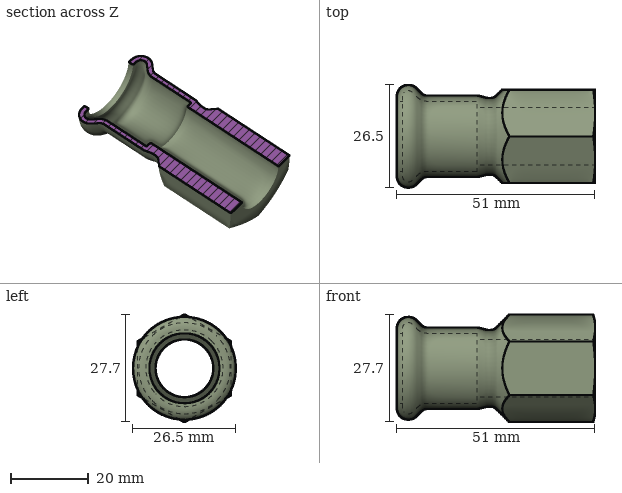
import cadquery as cq
import math


total_length = 51.0
socket_outer_radius = 21.0 / 2
neck_radius = 19.8 / 2
wall = 1.5
socket_inner_radius = socket_outer_radius - wall
through_bore_radius = 14.8 / 2

bead_outer_radius = 26.5 / 2
bead_arc_radius = 3.0
bead_groove_arc_radius = bead_arc_radius - wall
bead_flank_angle = 45.0
bead_root_arc_radius = 2.0
bead_groove_root_arc_radius = bead_root_arc_radius + wall

socket_end_x = 20.6
step_angle = 15.0
step_arc_radius = 2.4

neck_end_x = 24.2
shoulder_angle = 45.0
shoulder_arc_radius = 2.0

hex_sides = 6
hex_across_flats = 24.0
hex_corner_radius = hex_across_flats / math.sqrt(3)
end_chamfer_angle = 15.0
end_face_radius = hex_across_flats / 2
end_chamfer_length = (hex_corner_radius - end_face_radius) * math.tan(math.radians(end_chamfer_angle))

OUTWARD = 90.0
BACKWARD = 180.0
INWARD = 270.0


def arc_point(center, radius, degrees):
    """Point on a circle in the given direction from its center."""
    angle = math.radians(degrees)
    return (center[0] + radius * math.cos(angle), center[1] + radius * math.sin(angle))


def add_arc(profile, center, radius, start_angle, end_angle):
    """Continue a profile along an arc, from its current point at the start angle."""
    middle_angle = (start_angle + end_angle) / 2
    return profile.threePointArc(
        arc_point(center, radius, middle_angle),
        arc_point(center, radius, end_angle),
    )


def add_falling_bend(profile, crest_center, crest_radius, crest_start, root_center, root_radius, slope):
    """Continue a profile over a crest arc, down a tangent slope and around a root arc."""
    crest_end = OUTWARD - slope
    root_start = INWARD - slope
    profile = add_arc(profile, crest_center, crest_radius, crest_start, crest_end)
    profile = profile.lineTo(*arc_point(root_center, root_radius, root_start))
    return add_arc(profile, root_center, root_radius, root_start, INWARD)


def root_center_x(crest_center, root_center_radius, arc_radius_sum, slope):
    """Axial place of a root arc that shares a tangent slope with a crest arc."""
    angle = math.radians(slope)
    radial_gap = root_center_radius - crest_center[1]
    return crest_center[0] + (arc_radius_sum - radial_gap * math.cos(angle)) / math.sin(angle)


bead_center = (bead_arc_radius, bead_outer_radius - bead_arc_radius)
bead_root_center_radius = socket_outer_radius + bead_root_arc_radius
bead_root_center = (
    root_center_x(
        bead_center,
        bead_root_center_radius,
        bead_arc_radius + bead_root_arc_radius,
        bead_flank_angle,
    ),
    bead_root_center_radius,
)


def add_bead(profile, crest_radius, root_radius):
    """Continue a profile from the front of the bead to the socket tube."""
    return add_falling_bend(
        profile, bead_center, crest_radius, BACKWARD, bead_root_center, root_radius, bead_flank_angle
    )


def add_step(profile):
    """Continue a profile from the socket tube down to the neck."""
    crest_center = (socket_end_x, socket_outer_radius - step_arc_radius)
    root_radius = neck_radius + step_arc_radius
    root_center = (
        root_center_x(crest_center, root_radius, 2 * step_arc_radius, step_angle),
        root_radius,
    )
    return add_falling_bend(
        profile.lineTo(socket_end_x, socket_outer_radius),
        crest_center,
        step_arc_radius,
        OUTWARD,
        root_center,
        step_arc_radius,
        step_angle,
    )


def add_shoulder(profile):
    """Continue a profile along the neck and up the cone to the hexagon corners."""
    center = (neck_end_x, neck_radius + shoulder_arc_radius)
    cone_angle = INWARD + shoulder_angle
    cone_start = arc_point(center, shoulder_arc_radius, cone_angle)
    cone_rise = hex_corner_radius - cone_start[1]
    cone_end_x = cone_start[0] + cone_rise / math.tan(math.radians(shoulder_angle))
    profile = profile.lineTo(neck_end_x, neck_radius)
    profile = add_arc(profile, center, shoulder_arc_radius, INWARD, cone_angle)
    return profile.lineTo(cone_end_x, hex_corner_radius)


def revolve_about_axis(profile):
    return profile.close().revolve(360, (0, 0, 0), (1, 0, 0))


def make_outer_envelope():
    """Round outside of the bead, socket, neck, shoulder and chamfered end."""
    profile = cq.Workplane("XY").moveTo(0, 0).lineTo(0, bead_center[1])
    profile = add_bead(profile, bead_arc_radius, bead_root_arc_radius)
    profile = add_step(profile)
    profile = add_shoulder(profile)
    profile = (
        profile.lineTo(total_length - end_chamfer_length, hex_corner_radius)
        .lineTo(total_length, end_face_radius)
        .lineTo(total_length, 0)
    )
    return revolve_about_axis(profile)


def trim_to_hexagon(envelope):
    """Cut the wide end to a hexagon with two corners on the Z axis."""
    hexagon = (
        cq.Workplane("YZ", origin=(neck_end_x, 0, 0))
        .transformed(rotate=(0, 0, 90))
        .polygon(hex_sides, 2 * hex_corner_radius)
        .extrude(total_length - neck_end_x)
    )
    socket_zone = cq.Workplane("YZ").circle(2 * bead_outer_radius).extrude(neck_end_x)
    return envelope.intersect(hexagon.union(socket_zone))


def make_cavity():
    """Socket bore with the seal groove inside the bead, then the through bore."""
    lip_thickness = bead_center[0] - bead_groove_arc_radius
    profile = (
        cq.Workplane("XY")
        .moveTo(0, 0)
        .lineTo(0, socket_inner_radius)
        .lineTo(lip_thickness, socket_inner_radius)
        .lineTo(lip_thickness, bead_center[1])
    )
    profile = add_bead(profile, bead_groove_arc_radius, bead_groove_root_arc_radius)
    profile = (
        profile.lineTo(socket_end_x, socket_inner_radius)
        .lineTo(socket_end_x, through_bore_radius)
        .lineTo(total_length, through_bore_radius)
        .lineTo(total_length, 0)
    )
    return revolve_about_axis(profile)


result = trim_to_hexagon(make_outer_envelope()).cut(make_cavity())